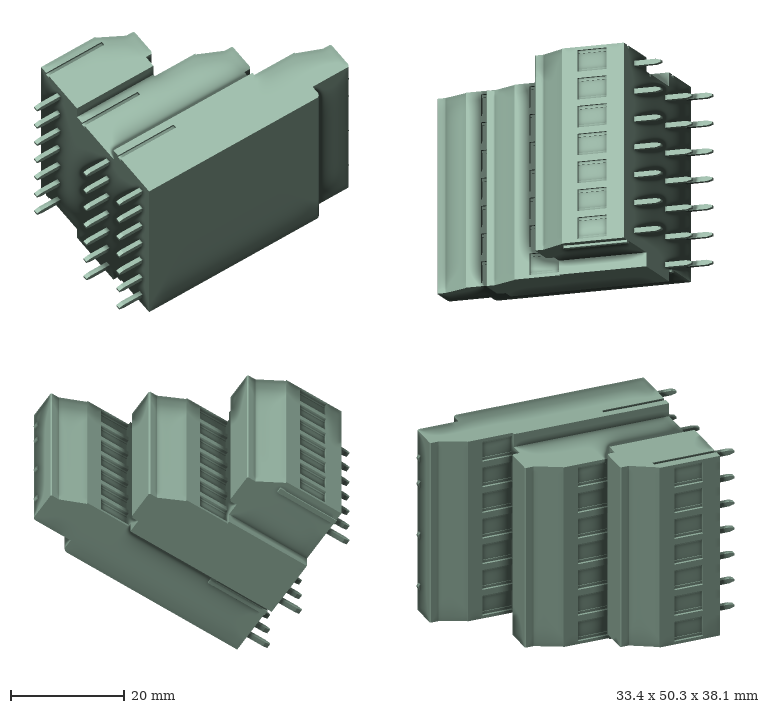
import cadquery as cq

pole_pitch = 5.08
pole_count = 7
tier_length = pole_count * pole_pitch
stagger = pole_pitch / 2

tier_count = 3
middle_tier = 1
tier_pitch = 11.1
seams = [0, tier_pitch, 22.35, 33.4]
walls = [0, 11.55, 22.92]
tier_rise = 13.45

shoulder_height = 11.65
shoulder_ledge = 0.2
slope_top_height = 16.3
crest_left = 2.9
crest_right = 8.75
crest_height = 17.95
crest_left_chamfer = 0.2
crest_right_chamfer = 0.35
rear_ledge_height = 16.45
last_rear_ledge_height = 36.85
last_rear_radius = 0.8

window_bottom = 3.25
window_top = 8.8
window_height = 3.9
window_depth = 0.5
window_lip = 0.5
window_floor_depth = 0.15

rail_x = 1.95
rail_length = 11.95
rail_depth = 0.5
rail_neck = 0.75
rail_head = 1.0
rail_head_depth = 0.4
rail_foot = 0.9
rail_stop_length = 1.1

pin_first_x = 5.5
pin_positions = [pin_first_x, pin_first_x + 3 * pole_pitch, pin_first_x + 5 * pole_pitch]
pin_size = 0.9
pin_length = 5.0
pin_taper_start = 4.05
pin_tip_height = 0.4
pin_root = 1.0

nub_x = 29.6
nub_length = 0.8
nub_base = 1.25
nub_height = 0.45
nub_pole_borders = [1, 3, 5, 6]


def tier_base_z(tier):
    return -stagger if tier == middle_tier else 0


def box(x, y, z, dx, dy, dz):
    return cq.Workplane("XY").box(dx, dy, dz, centered=False).translate((x, y, z))


def tier_body(tier):
    """Stepped tier outline in XY, extruded along the row of poles."""
    left = seams[tier]
    right = seams[tier + 1]
    wall = walls[tier]
    crest_start = tier * tier_pitch + crest_left
    crest_end = tier * tier_pitch + crest_right
    rise = tier * tier_rise
    is_last = tier == tier_count - 1
    rear_height = last_rear_ledge_height if is_last else rise + rear_ledge_height
    step_height = rear_ledge_height + (tier - 1) * tier_rise
    crest = rise + crest_height

    outline = cq.Workplane("XY").moveTo(left, 0)
    if tier > 0:
        outline = outline.lineTo(left, step_height).lineTo(wall, step_height)
    outline = (
        outline.lineTo(wall, rise + shoulder_height)
        .lineTo(wall + shoulder_ledge, rise + shoulder_height)
        .lineTo(crest_start, rise + slope_top_height)
        .lineTo(crest_start, crest - crest_left_chamfer)
        .lineTo(crest_start + crest_left_chamfer, crest)
        .lineTo(crest_end - crest_right_chamfer, crest)
        .lineTo(crest_end, crest - crest_right_chamfer)
        .lineTo(crest_end, rear_height)
    )
    if is_last:
        outline = outline.lineTo(right - last_rear_radius, rear_height).radiusArc(
            (right, rear_height - last_rear_radius), last_rear_radius
        )
    else:
        outline = outline.lineTo(right, rear_height)
    body = outline.lineTo(right, 0).close().extrude(tier_length)
    return body.translate((0, 0, tier_base_z(tier)))


def windows(tier):
    """Shallow stepped wire-entry pockets; on the upper tiers they run down to the tier below."""
    wall = walls[tier]
    rise = tier * tier_rise
    low = window_bottom if tier == 0 else rear_ledge_height + (tier - 1) * tier_rise
    length = rise + window_top - low
    cutters = cq.Workplane("XY")
    for pole in range(pole_count):
        z = tier_base_z(tier) + (pole + 0.5) * pole_pitch - window_height / 2
        cutters = cutters.add(box(wall, low, z, window_depth, length, window_height))
        floor_height = window_height - 2 * window_lip
        floor_depth = window_depth + window_floor_depth
        cutters = cutters.add(box(wall, low, z + window_lip, floor_depth, length, floor_height))
    return cutters.combine()


def dovetail(tier, face_z):
    """Flared bar hanging below face_z, from the pin face to the rail's upper end."""
    half_neck = rail_neck / 2
    half_head = rail_head / 2
    half_foot = rail_foot / 2
    return (
        cq.Workplane("XZ")
        .polyline(
            [
                (-half_neck, 0),
                (half_neck, 0),
                (half_head, -rail_head_depth),
                (half_foot, -rail_depth),
                (-half_foot, -rail_depth),
                (-half_head, -rail_head_depth),
            ]
        )
        .close()
        .extrude(-rail_length)
        .translate((tier * tier_pitch + rail_x, 0, face_z))
    )


def rail(tier):
    """Rail under the tier's lower end face, closed by a square block."""
    face_z = tier_base_z(tier)
    stop_x = tier * tier_pitch + rail_x - rail_head / 2
    stop_y = rail_length - rail_stop_length
    stop = box(stop_x, stop_y, face_z - rail_depth, rail_head, rail_stop_length, rail_depth)
    return dovetail(tier, face_z).union(stop)


def groove(tier):
    """Groove in the tier's upper end face, open at the pin face."""
    return dovetail(tier, tier_base_z(tier) + tier_length)


def pin(x, z):
    """Solder pin tapering in Z to a flat tip."""
    half = pin_size / 2
    tip = pin_tip_height / 2
    return (
        cq.Workplane("YZ")
        .polyline(
            [
                (pin_root, -half),
                (-pin_taper_start, -half),
                (-pin_length, -tip),
                (-pin_length, tip),
                (-pin_taper_start, half),
                (pin_root, half),
            ]
        )
        .close()
        .extrude(pin_size)
        .translate((x - half, 0, z))
    )


def nub(z):
    """Nub with an arched YZ profile."""
    crest = crest_height + (tier_count - 1) * tier_rise
    return (
        cq.Workplane("YZ")
        .moveTo(crest, -nub_base / 2)
        .threePointArc((crest + nub_height, 0), (crest, nub_base / 2))
        .close()
        .extrude(nub_length)
        .translate((nub_x - nub_length / 2, 0, z))
    )


result = tier_body(0)
for tier in range(1, tier_count):
    result = result.union(tier_body(tier))

for tier in range(tier_count):
    result = result.cut(windows(tier)).cut(groove(tier))
    if tier != middle_tier:
        result = result.union(rail(tier))
    for pole in range(pole_count):
        pin_z = tier_base_z(tier) + (pole + 0.5) * pole_pitch
        result = result.union(pin(pin_positions[tier], pin_z))

for border in nub_pole_borders:
    result = result.union(nub(border * pole_pitch))